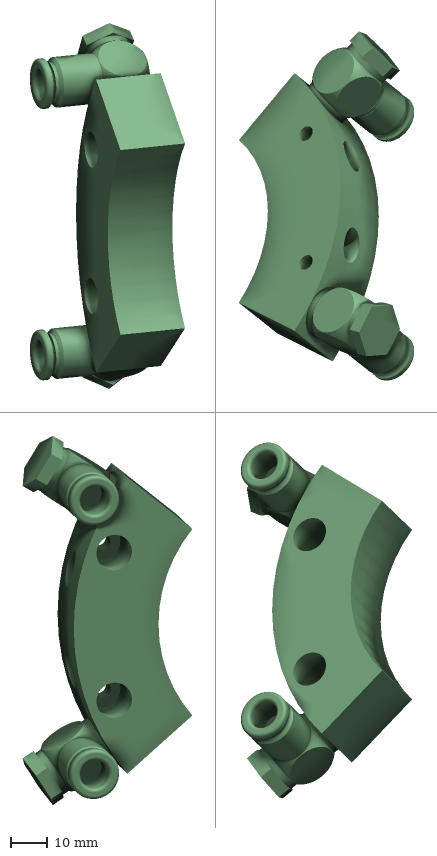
import cadquery as cq
import math

OUTER_RADIUS = 65.0
INNER_RADIUS = 41.0
HALF_SPAN = 40.0
BLOCK_THICKNESS = 19.1
BLOCK_BACK_Y = 8.0

MOUNT_RADIUS = 57.5
MOUNT_ANGLE = 21.3
MOUNT_BORE = 4.5
MOUNT_COUNTERBORE = 10.0
COUNTERBORE_DEPTH = 13.6

SLANT_BORE = 7.0
SLANT_POSITION = 13.0
SLANT_TILT = 60.0
SLANT_DEPTH = 4.2

FITTING_ANGLE = 32.0
SPOTFACE_DIAMETER = 16.0
SPOTFACE_RADIUS = 64.0
TUBE_AXIS_RADIUS = 73.0
HEX_FLATS = 14.0
HEX_HEIGHT = 3.7
HEX_TOP_RADIUS = 85.5
HUB_SIZE = 14.0
HUB_FLAT_DIAMETER = 13.6
COLLAR_DIAMETER = 13.8

NECK_DIAMETER = 13.8
TUBE_DIAMETER = 14.0
RIM_DIAMETER = 12.0
GROOVE_DIAMETER = 10.0
TUBE_BORE = 8.0
BORE_MOUTH = 10.0
NECK_END = 8.0
TUBE_END = 19.5
TUBE_CHAMFER = 0.9
RIM_END = 20.5
GROOVE_END = 21.6
FLANGE_END = 23.5
FLANGE_ROUND = 0.9
BORE_DEPTH = 9.4

SIDES = (1, -1)


def polar(radius, degrees):
    """Point in the XZ plane, angle measured from -X toward +Z."""
    angle = math.radians(degrees)
    return -radius * math.cos(angle), radius * math.sin(angle)


def radial_plane(radius, degrees):
    """Plane facing outward along a radius, with its x direction along +Y."""
    x, z = polar(radius, degrees)
    return cq.Plane(origin=(x, 0, z), xDir=(0, 1, 0), normal=(x, 0, z))


def y_cylinder(diameter, start, end, x=0.0, z=0.0):
    """Cylinder running toward -Y from Y = -start to Y = -end."""
    plane = cq.Plane(origin=(x, -start, z), xDir=(1, 0, 0), normal=(0, -1, 0))
    return cq.Workplane(plane).circle(diameter / 2).extrude(end - start)


def make_sector():
    plane = cq.Plane(origin=(0, BLOCK_BACK_Y, 0), xDir=(1, 0, 0), normal=(0, -1, 0))
    return (
        cq.Workplane(plane)
        .moveTo(*polar(OUTER_RADIUS, HALF_SPAN))
        .threePointArc(polar(OUTER_RADIUS, 0), polar(OUTER_RADIUS, -HALF_SPAN))
        .lineTo(*polar(INNER_RADIUS, -HALF_SPAN))
        .threePointArc(polar(INNER_RADIUS, 0), polar(INNER_RADIUS, HALF_SPAN))
        .close()
        .extrude(BLOCK_THICKNESS)
    )


def mounting_hole(side):
    x, z = polar(MOUNT_RADIUS, side * MOUNT_ANGLE)
    front = BLOCK_THICKNESS - BLOCK_BACK_Y
    bore = y_cylinder(MOUNT_BORE, -BLOCK_BACK_Y, front, x, z)
    counterbore = y_cylinder(MOUNT_COUNTERBORE, front - COUNTERBORE_DEPTH, front, x, z)
    return bore.union(counterbore)


def slanted_hole(side):
    x, z = polar(OUTER_RADIUS, side * SLANT_POSITION)
    tilt = math.radians(SLANT_TILT)
    outward = cq.Vector(-math.cos(tilt), 0, side * math.sin(tilt))
    floor = cq.Vector(x, 0, z) - outward * SLANT_DEPTH
    plane = cq.Plane(origin=floor.toTuple(), xDir=(0, 1, 0), normal=outward.toTuple())
    return cq.Workplane(plane).circle(SLANT_BORE / 2).extrude(4 * SLANT_DEPTH)


def spotface(side):
    seat = radial_plane(SPOTFACE_RADIUS, side * FITTING_ANGLE)
    return cq.Workplane(seat).circle(SPOTFACE_DIAMETER / 2).extrude(OUTER_RADIUS - SPOTFACE_RADIUS)


def make_block():
    block = make_sector()
    for side in SIDES:
        block = block.cut(mounting_hole(side)).cut(slanted_hole(side)).cut(spotface(side))
    return block


def make_tube_connector():
    """Connector on the origin, reaching toward -Y from the fitting axis."""
    tube = y_cylinder(TUBE_DIAMETER, NECK_END, TUBE_END).faces("<Y").chamfer(TUBE_CHAMFER)
    flange = y_cylinder(TUBE_DIAMETER, GROOVE_END, FLANGE_END).faces("<Y").edges().fillet(FLANGE_ROUND)
    connector = (
        y_cylinder(NECK_DIAMETER, HUB_SIZE / 2, NECK_END)
        .union(tube)
        .union(y_cylinder(RIM_DIAMETER, TUBE_END, RIM_END))
        .union(y_cylinder(GROOVE_DIAMETER, RIM_END, GROOVE_END))
        .union(flange)
        .cut(y_cylinder(TUBE_BORE, FLANGE_END - BORE_DEPTH, FLANGE_END))
    )
    mouth_edge = connector.faces("<Y").edges(cq.selectors.RadiusNthSelector(0))
    return mouth_edge.fillet((BORE_MOUTH - TUBE_BORE) / 2)


def make_hub(angle):
    """Cube centred on the tube axis, with all its edges rounded off by a sphere."""
    center = radial_plane(TUBE_AXIS_RADIUS, angle)
    sphere_radius = math.hypot(HUB_SIZE / 2, HUB_FLAT_DIAMETER / 2)
    cube = cq.Workplane(center).box(HUB_SIZE, HUB_SIZE, HUB_SIZE)
    return cube.intersect(cq.Workplane(center).sphere(sphere_radius))


def make_collar(start_radius, end_radius, angle):
    """Short round collar on the fitting axis between two distances from the ring centre."""
    start = radial_plane(start_radius, angle)
    return cq.Workplane(start).circle(COLLAR_DIAMETER / 2).extrude(end_radius - start_radius)


def make_elbow(side):
    angle = side * FITTING_ANGLE
    x, z = polar(TUBE_AXIS_RADIUS, angle)
    block_collar = make_collar(SPOTFACE_RADIUS, TUBE_AXIS_RADIUS - HUB_SIZE / 2, angle)
    hex_collar = make_collar(TUBE_AXIS_RADIUS + HUB_SIZE / 2, HEX_TOP_RADIUS - HEX_HEIGHT, angle)
    connector = make_tube_connector().translate((x, 0, z))
    return make_hub(angle).union(block_collar).union(hex_collar).union(connector)


def make_hex_head(side):
    """Hexagonal head with two flats facing +Y and -Y."""
    corner_diameter = HEX_FLATS / math.cos(math.radians(30))
    seat = radial_plane(HEX_TOP_RADIUS - HEX_HEIGHT, side * FITTING_ANGLE)
    return cq.Workplane(seat).transformed(rotate=(0, 0, 90)).polygon(6, corner_diameter).extrude(HEX_HEIGHT)


block = make_block()
elbows = [make_elbow(side) for side in SIDES]
hex_heads = [make_hex_head(side) for side in SIDES]

result = cq.Compound.makeCompound(
    [
        block.val(),
        *[elbow.val() for elbow in elbows],
        *[head.val() for head in hex_heads],
    ]
)